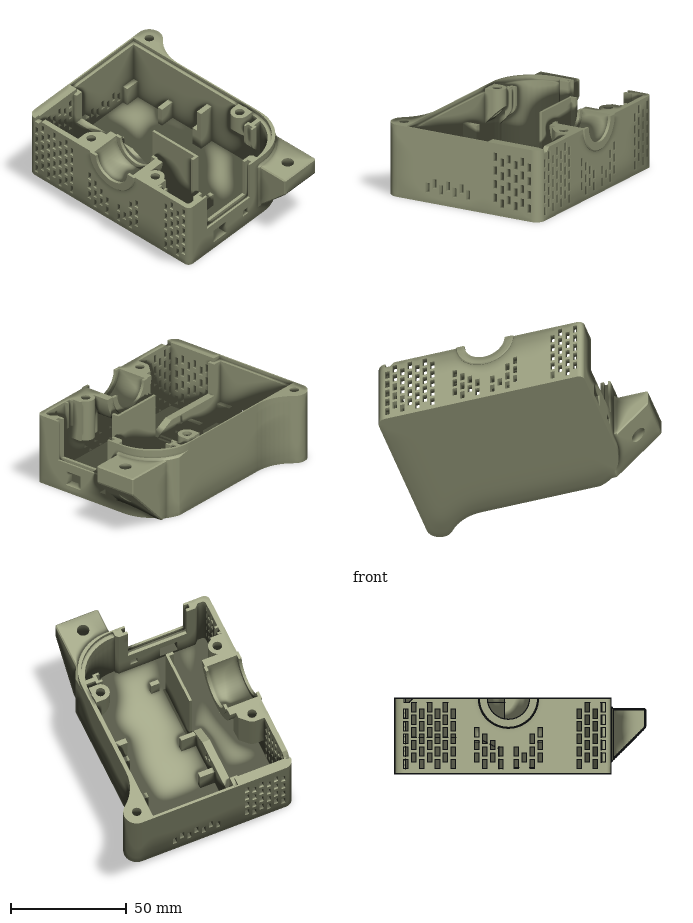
import cadquery as cq
import math

overall_length = 108.6
height = 32.7
body_length = 93.7
body_depth = 68.2
floor = 2.0
rim_step = 1.8
seat_z = height - rim_step
rim_lip = 0.7

back_wall = 2.3
front_wall = 2.4
bay_back = body_depth - back_wall
left_wall = 2.2
thick_left_wall = 4.7
right_wall = 2.5
thick_right_wall = 4.3
left_corner_radius = 4.0
right_corner_radius = 2.5
big_corner_radius = 20.0
big_corner_x = body_length - big_corner_radius
big_corner_y = body_depth - big_corner_radius

screw_radius = 2.1
screw_depth = 16.3

ear_radius = 5.9
ear_y = 72.0
ear_sweep_radius = 20.0

divider_front = 24.5
divider_back = 27.9
divider_end = 45.1
divider_top = 15.6
divider_ramp_start = 35.6
divider_ramp_end_z = 10.9
divider_post_end = 6.3
divider_vents = [(28.5, 13.1), (31.8, 10.1)]
seat_width = left_wall - rim_lip
seat_front = divider_back - seat_width

collar_x = 49.2
collar_bore = 11.3
collar_mouth = 9.1
collar_shell = 15.1
collar_back = 15.5
collar_lip = 0.7
collar_lip_radius = 13.0
collar_edge = 0.4


def box(x0, x1, y0, y1, z0, z1):
    return cq.Workplane("XY").box(x1 - x0, y1 - y0, z1 - z0, centered=False).translate((x0, y0, z0))


def cylinder(x, y, radius, z0, z1):
    return cq.Workplane("XY", origin=(x, y, z0)).circle(radius).extrude(z1 - z0)


def rounded_bay(x0, x1, y0, y1, radius, z0, z1):
    """Box with its back right upright corner rounded."""
    return box(x0, x1, y0, y1, z0, z1).edges("|Z and >X and >Y").fillet(radius)


def nearest(x, y, z):
    return cq.selectors.NearestToPointSelector((x, y, z))


def outer_body():
    sweep_y = body_depth + ear_sweep_radius
    centre_gap = ear_radius + ear_sweep_radius
    sweep_x = ear_radius + math.sqrt(centre_gap**2 - (sweep_y - ear_y) ** 2)
    touch_x = ear_radius + (sweep_x - ear_radius) * ear_radius / centre_gap
    touch_y = ear_y + (sweep_y - ear_y) * ear_radius / centre_gap
    outline = (
        cq.Workplane("XY")
        .moveTo(0, 0)
        .lineTo(body_length, 0)
        .lineTo(body_length, big_corner_y)
        .radiusArc((big_corner_x, body_depth), -big_corner_radius)
        .lineTo(sweep_x, body_depth)
        .radiusArc((touch_x, touch_y), ear_sweep_radius)
        .threePointArc((ear_radius, ear_y + ear_radius), (0, ear_y))
        .close()
    )
    body = outline.extrude(height)
    body = body.edges("|Z").edges(nearest(0, 0, height / 2)).fillet(left_corner_radius)
    return body.edges("|Z").edges(nearest(body_length, 0, height / 2)).fillet(right_corner_radius)


bracket_front = 45.3
bracket_width = 20.2
bracket_top = 28.1
bracket_tip_height = 8.0
bracket_edge = 0.5
bracket_front_bevel = 0.8
bracket_hole_x = 101.3
bracket_hole_radius = 2.7
bracket_blend = 1.0


def bracket_profile(front, back, top):
    """Arm with a 45 degree underside, between two Y positions."""
    tip_bottom = bracket_top - bracket_tip_height
    return (
        cq.Workplane("XZ", origin=(0, front, 0))
        .moveTo(overall_length, top)
        .lineTo(overall_length, tip_bottom)
        .lineTo(overall_length - tip_bottom, 0)
        .lineTo(big_corner_x, 0)
        .lineTo(big_corner_x, top)
        .close()
        .extrude(front - back)
    )


def bracket():
    arm = bracket_profile(bracket_front, bracket_front + bracket_width, bracket_top)
    arm = arm.faces("<Y or >Y or >X").edges().chamfer(bracket_edge)
    band_front = bracket_front - bracket_blend
    band_top = bracket_top + bracket_blend
    band = rounded_bay(
        big_corner_x - big_corner_radius, body_length + bracket_blend, band_front, body_depth + bracket_blend,
        big_corner_radius + bracket_blend, 0, band_top,
    )
    band = band.edges("|Z and >X and <Y").chamfer(bracket_front_bevel)
    band = band.faces(">Z").edges().chamfer(bracket_blend)
    band = band.intersect(bracket_profile(band_front, body_depth, band_top))
    hole = cylinder(bracket_hole_x, bracket_front + bracket_width / 2, bracket_hole_radius, 0, height)
    return arm.union(band).cut(hole)


inner_corner_radius = 20.0
thick_wall_end = 45.0
thick_wall_bevel = 1.3
relief_depth = 1.8
relief_end = 7.5
relief_radius = 1.4
relief_bevel = 1.7


def cavity():
    inner_right = body_length - right_wall
    thick_right = body_length - thick_right_wall
    bay = rounded_bay(
        left_wall, inner_right, divider_back, bay_back, inner_corner_radius, floor, height
    )
    thick_wall = box(thick_right, body_length, divider_back, thick_wall_end, floor, height)
    bay = bay.cut(thick_wall.edges("|Z and <X and >Y").chamfer(thick_wall_bevel))
    front = box(thick_left_wall, thick_right, front_wall, divider_back, floor, height)
    relief = box(
        thick_right - relief_depth, thick_right + relief_depth,
        front_wall, relief_end, floor, height,
    )
    relief = relief.edges("|Z and >X and >Y").chamfer(relief_bevel)
    relief = relief.edges("|Z and >X and <Y").fillet(relief_radius)
    return bay.union(front).union(relief)


def lid_seat():
    seat = rounded_bay(
        rim_lip, body_length - rim_lip, seat_front, body_depth - rim_lip,
        inner_corner_radius + seat_width, seat_z, height,
    )
    return seat.cut(box(big_corner_x, body_length, 0, thick_wall_end, 0, height))


support_top = 11.1
tall_support_top = 22.0
support_step_z = 10.2
support_width = 2.5
support_reach = 6.8


def divider():
    profile = (
        cq.Workplane("XZ", origin=(0, divider_front, 0))
        .moveTo(thick_left_wall, 0)
        .lineTo(divider_end, 0)
        .lineTo(divider_end, divider_ramp_end_z)
        .lineTo(divider_ramp_start, divider_top)
        .lineTo(divider_post_end, divider_top)
        .lineTo(divider_post_end, seat_z)
        .lineTo(thick_left_wall, seat_z)
        .close()
    )
    return profile.extrude(divider_front - divider_back).union(
        box(left_wall, thick_left_wall, divider_front, divider_back, 0, seat_z)
    )


support_places = [left_wall, 22.4, 42.6]
side_support_x = 74.3
side_support_width = 2.0
side_support_front = 31.1
side_support_back = 35.1
side_support_top = 8.4


def supports():
    parts = cq.Workplane("XY")
    for x in support_places:
        end = x + support_width
        parts = parts.union(box(x, end, bay_back - support_reach, bay_back, 0, support_top))
        parts = parts.union(box(x, end, divider_back, divider_back + support_reach, 0, support_top))
    step_x = support_places[-1] + support_width / 2
    step = box(
        step_x, divider_end, divider_back, divider_back + support_reach, support_step_z, support_top
    )
    parts = parts.cut(step)
    tall_x = support_places[-1] + support_width
    parts = parts.union(
        box(tall_x, tall_x + support_width, bay_back - support_reach, bay_back, 0, tall_support_top)
    )
    side_end = side_support_x + side_support_width
    side = box(side_support_x, side_end, side_support_front, side_support_back, 0, side_support_top)
    return parts.union(side)


plate_start = 47.6
plate_end = 73.3
plate_front = 27.6
plate_thickness = 1.2
plate_hook = 1.3
plate_hook_front = 25.3
plate_foot = 0.9


def partition_plate():
    back = plate_front + plate_thickness
    plate = box(plate_start, plate_end, plate_front, back, 0, height)
    hook = box(plate_end - plate_hook, plate_end, plate_hook_front, back, 0, height)
    foot = (
        cq.Workplane("XY", origin=((plate_start + plate_end) / 2, (plate_front + back) / 2, floor))
        .rect(plate_end - plate_start + 2 * plate_foot, plate_thickness + 2 * plate_foot)
        .extrude(plate_foot, taper=45)
    )
    return plate.union(hook).union(foot)


boss_radius = 4.0
back_boss_x = 67.3
back_boss_y = 62.1
back_boss_bottom = 17.0
left_boss = (31.0, 6.5)
front_boss_bottom = 13.8
left_boss_back = 12.7
boss_collar_overlap = 2.7
right_boss = (68.2, 6.5)
right_boss_side = 73.2
right_boss_shoulder = 7.7


def back_boss():
    boss = cylinder(back_boss_x, back_boss_y, boss_radius, 0, height).union(
        box(back_boss_x - boss_radius, back_boss_x + boss_radius, back_boss_y, bay_back, 0, height)
    )
    reach = bay_back - back_boss_y + boss_radius
    under = (
        cq.Workplane("YZ", origin=(back_boss_x - boss_radius, 0, 0))
        .moveTo(bay_back, 0)
        .lineTo(bay_back, back_boss_bottom)
        .lineTo(bay_back - reach, back_boss_bottom + reach)
        .lineTo(bay_back - reach, 0)
        .close()
        .extrude(2 * boss_radius)
    )
    return boss.cut(under)


def front_bosses():
    x, y = left_boss
    collar_side = collar_x - collar_shell + boss_collar_overlap
    flank_x = x - boss_radius * math.cos(math.radians(45))
    flank_y = y + boss_radius * math.cos(math.radians(45))
    left = (
        cq.Workplane("XY", origin=(0, 0, front_boss_bottom))
        .moveTo(x - boss_radius, front_wall / 2)
        .lineTo(x - boss_radius, y)
        .radiusArc((flank_x, flank_y), boss_radius)
        .lineTo(flank_x + left_boss_back - flank_y, left_boss_back)
        .lineTo(collar_side, left_boss_back)
        .lineTo(collar_side, front_wall / 2)
        .close()
        .extrude(height - front_boss_bottom)
    )
    right = cylinder(*right_boss, boss_radius, front_boss_bottom, height)
    right = right.union(
        box(
            collar_x + collar_shell - boss_collar_overlap, right_boss_side,
            front_wall / 2, right_boss_shoulder, front_boss_bottom, height,
        )
    )
    return left.union(right)


def turned(points):
    """Solid turned about the collar axis from (radius, Y) points."""
    profile = cq.Workplane("XY").polyline(points).close()
    return profile.revolve(360, (0, 0, 0), (0, 1, 0)).translate((collar_x, 0, height))


def collar():
    back = collar_back + collar_lip
    return turned([
        (0, -collar_lip),
        (collar_lip_radius - collar_edge, -collar_lip),
        (collar_lip_radius, collar_edge - collar_lip),
        (collar_lip_radius, 0),
        (collar_shell, 0),
        (collar_shell, collar_back),
        (collar_bore + collar_edge, collar_back),
        (collar_bore + collar_edge, back),
        (0, back),
    ]).intersect(box(0, body_length, -collar_lip, back, 0, height))


def collar_bore_cut():
    front = -collar_lip
    back = collar_back + collar_lip
    return turned([
        (0, front),
        (collar_mouth, front),
        (collar_mouth, collar_lip),
        (collar_bore, collar_lip),
        (collar_bore, collar_back - collar_lip),
        (collar_mouth, collar_back - collar_lip),
        (collar_mouth, back),
        (0, back),
    ])


opening_front = 11.6
opening_back = 39.3
opening_sill = 14.0
groove_depth = 2.0
groove_inner = 90.7
groove_width = 2.0


def panel_opening():
    opening = box(
        body_length - thick_right_wall, body_length, opening_front, opening_back, opening_sill, height
    )
    groove = box(
        groove_inner, groove_inner + groove_width,
        opening_front - groove_depth, opening_back + groove_depth, opening_sill - groove_depth, height,
    )
    return opening.union(groove)


vent_width = 2.0
vent_height = 4.0
vent_pitch = 3.41

front_vent_rows = {
    0: 5, 1: 5, 2: 5, 3: 5, 4: 5, 5: 5, 6: 5,
    9: 3, 10: 3, 11: 2, 12: 2, 14: 2, 15: 1, 16: 3, 17: 3,
    22: 5, 23: 5, 24: 5, 25: 5,
}
left_vent_rows = {column: 4 for column in range(6)}
low_vent_rows = {column: 1 for column in range(7)}
low_vent_height = 4.5


def vents(plane, depth, rows_by_column, first, bottoms, row_pitch, slot_height):
    """Staggered slots; bottoms holds the lowest slot centres of even and odd columns."""
    centres = [
        (first + column * vent_pitch, bottoms[column % 2] + row * row_pitch)
        for column, rows in rows_by_column.items()
        for row in range(rows)
    ]
    return cq.Workplane(plane).pushPoints(centres).rect(vent_width, slot_height).extrude(depth)


def divider_slots():
    slots = cq.Workplane("XZ", origin=(0, divider_front, 0)).pushPoints(divider_vents)
    return slots.rect(vent_width, vent_height).extrude(divider_front - divider_back)


front_vent_first = 4.9
front_vent_bottoms = (4.2, 7.1)
front_vent_row_pitch = 5.4
left_vent_first = 5.3
left_vent_bottoms = (5.8, 7.8)
left_vent_row_pitch = 6.2
low_vent_first = 36.1
low_vent_bottoms = (6.7, 9.0)


def all_vents():
    front = vents(
        "XZ", -front_wall, front_vent_rows, front_vent_first,
        front_vent_bottoms, front_vent_row_pitch, vent_height,
    )
    left = vents(
        "YZ", thick_left_wall, left_vent_rows, left_vent_first,
        left_vent_bottoms, left_vent_row_pitch, vent_height,
    )
    low = vents(
        "YZ", left_wall, low_vent_rows, low_vent_first,
        low_vent_bottoms, left_vent_row_pitch, low_vent_height,
    )
    return front.union(left).union(low).union(divider_slots())


low_opening_sizes = [(16.0, 24.2, 3.5, 10.1), (34.9, 38.2, 5.9, 9.1)]


def low_openings():
    openings = cq.Workplane("XY")
    for front, back, bottom, top in low_opening_sizes:
        openings = openings.union(
            box(body_length - thick_right_wall, body_length, front, back, bottom, top)
        )
    return openings


clip_x = 72.9
clip_width = 4.8
clip_front = 58.6
clip_back = 61.5
clip_arm = 1.0
clip_groove_depth = 1.5
clip_bottom = 20.4
clip_round = 4.3
clip_rib_front = 65.3
front_clip_x = 73.5
front_clip_width = 4.1
front_clip_reach = 1.5


def clips():
    side_end = side_support_x + side_support_width
    rib = box(side_support_x, side_end, clip_rib_front, body_depth - back_wall / 2, 0, seat_z)
    drop = clip_rib_front - clip_front
    stem = (
        cq.Workplane("YZ", origin=(side_support_x, 0, 0))
        .moveTo(clip_front + clip_groove_depth, seat_z)
        .lineTo(clip_rib_front, seat_z)
        .lineTo(clip_rib_front, clip_bottom - drop)
        .lineTo(clip_front + clip_groove_depth, clip_bottom - clip_groove_depth)
        .close()
        .extrude(side_support_width)
    )
    head = (
        cq.Workplane("YZ", origin=(clip_x, 0, 0))
        .moveTo(clip_front, seat_z)
        .lineTo(clip_back, seat_z)
        .lineTo(clip_back, clip_bottom - (clip_back - clip_front))
        .lineTo(clip_front, clip_bottom)
        .close()
        .extrude(clip_width)
    )
    head = head.edges("|X").edges(nearest(clip_x, clip_front, clip_bottom)).fillet(clip_round)
    groove = box(
        clip_x + clip_arm, clip_x + clip_width - clip_arm,
        clip_front, clip_front + clip_groove_depth, 0, seat_z,
    )
    front = box(
        front_clip_x, front_clip_x + front_clip_width,
        front_wall / 2, front_wall + front_clip_reach, clip_bottom, height,
    )
    front_groove = box(
        front_clip_x + clip_arm, front_clip_x + front_clip_width - clip_arm,
        front_wall, front_wall + front_clip_reach, clip_bottom, height,
    )
    return rib.union(stem).union(head.cut(groove)).union(front.cut(front_groove))


def screw_holes():
    holes = cq.Workplane("XY")
    for x, y in [left_boss, right_boss, (back_boss_x, back_boss_y), (ear_radius, ear_y)]:
        holes = holes.union(cylinder(x, y, screw_radius, height - screw_depth, height))
    return holes


notch_start = 4.0
notch_floor_end = 6.2
notch_end = 8.0


def cable_notch():
    return (
        cq.Workplane("XZ")
        .moveTo(notch_start, height)
        .lineTo(notch_start, seat_z)
        .lineTo(notch_floor_end, seat_z)
        .lineTo(notch_end, height)
        .close()
        .extrude(-front_wall)
    )


result = outer_body().union(bracket()).cut(cavity()).cut(lid_seat())
additions = [
    divider(), supports(), partition_plate(), back_boss(), front_bosses(), collar(), clips(),
]
for part in additions:
    result = result.union(part)
cuts = [
    collar_bore_cut(), panel_opening(), all_vents(), low_openings(), screw_holes(), cable_notch(),
]
for tool in cuts:
    result = result.cut(tool)